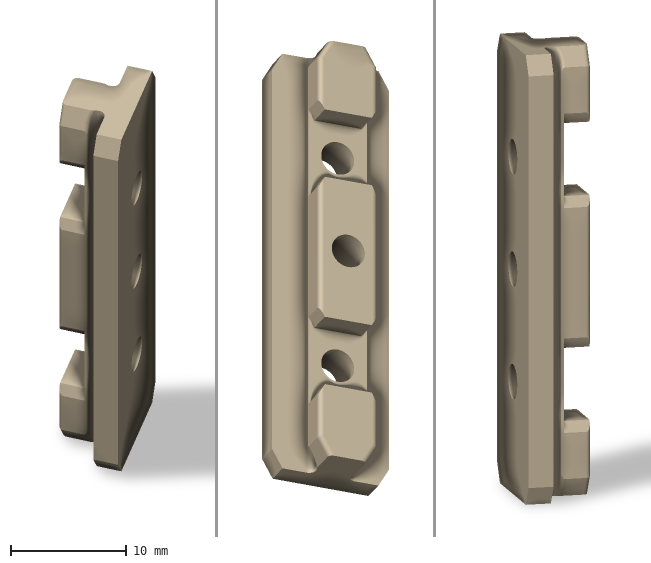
import cadquery as cq
import math

LENGTH = 40.0
DEPTH = 6.3
FLANGE_WIDTH = 10.97

FLANGE_FRONT = 4.05
HEAD_WIDTH = 5.5
HEAD_BACK = 2.66
NECK_WIDTH = 3.3
GROOVE_RADIUS = 0.6
GROOVE_CENTER = (HEAD_BACK + FLANGE_FRONT) / 2

FRONT_FILLET = 0.45
SIDE_LIP_FILLET = 0.12
BEVEL_LIP_FILLET = 0.35

BEVEL_SLOPE = math.tan(math.radians(30.0))
END_BEVEL_LENGTH = 1.69
GAP_BEVEL_LENGTH = 0.95

HOLE_DIAMETER = 3.1
HOLE_PITCH = 10.0
GAP_LENGTH = 6.5
GAP_DEPTH = 2.4

HOLE_POSITIONS = (-HOLE_PITCH, 0, HOLE_PITCH)
GAP_POSITIONS = (-HOLE_PITCH, HOLE_PITCH)

SELECTION_MARGIN = 0.01


def square_bar(x_start, x_end, width):
    """Full-length bar with square corners."""
    bar = cq.Workplane("XY").box(x_end - x_start, width, LENGTH)
    return bar.translate(((x_start + x_end) / 2, 0, 0))


def beveled_bar(x_start, x_end, width, bevel_length):
    """Full-length bar whose four corners are beveled."""
    side = width / 2
    end = LENGTH / 2
    end_side = side - bevel_length * BEVEL_SLOPE
    bevel_start = end - bevel_length
    outline = [
        (-end_side, -end),
        (end_side, -end),
        (side, -bevel_start),
        (side, bevel_start),
        (end_side, end),
        (-end_side, end),
        (-side, bevel_start),
        (-side, -bevel_start),
    ]
    bar = cq.Workplane("YZ").polyline(outline).close().extrude(x_end - x_start)
    return bar.translate((x_start, 0, 0))


def make_groove(side):
    """Groove between head and flange on one side, rounded where it meets the neck."""
    neck = side * NECK_WIDTH / 2
    outside = side * FLANGE_WIDTH
    groove = (
        cq.Workplane("XY")
        .workplane(offset=-LENGTH / 2)
        .moveTo(HEAD_BACK, neck)
        .lineTo(FLANGE_FRONT, neck)
        .lineTo(FLANGE_FRONT, outside)
        .lineTo(HEAD_BACK, outside)
        .close()
        .extrude(LENGTH)
    )
    neck_face = "<Y" if side > 0 else ">Y"
    return groove.faces(neck_face).edges("|Z").fillet(GROOVE_RADIUS)


def cut_grooves(bar):
    return bar.cut(make_groove(1)).cut(make_groove(-1))


def edges_at(x, y_start, y_end):
    """Selector for edges in the plane at x and between two Y positions, without those of the ends."""
    end = LENGTH / 2 - SELECTION_MARGIN
    return cq.selectors.BoxSelector(
        (x - SELECTION_MARGIN, y_start, -end),
        (x + SELECTION_MARGIN, y_end, end),
    )


def round_head_edges(bar, lip_fillet):
    """Round the front edges of a grooved bar and its lips over the grooves."""
    lip_start = NECK_WIDTH / 2 + GROOVE_RADIUS + SELECTION_MARGIN
    front_edges = edges_at(0, -FLANGE_WIDTH, FLANGE_WIDTH)
    lip_edges = edges_at(HEAD_BACK, lip_start, FLANGE_WIDTH) + edges_at(HEAD_BACK, -FLANGE_WIDTH, -lip_start)
    return bar.edges(front_edges).fillet(FRONT_FILLET).edges(lip_edges).fillet(lip_fillet)


def make_head():
    """Head with the front half of the neck: its straight sides meet the separately rounded end bevels."""
    straight = cut_grooves(square_bar(0, GROOVE_CENTER, HEAD_WIDTH))
    straight = round_head_edges(straight, SIDE_LIP_FILLET)

    overhang = (FLANGE_WIDTH - HEAD_WIDTH) / 2
    long_bevel = END_BEVEL_LENGTH + overhang / BEVEL_SLOPE
    wide = cut_grooves(beveled_bar(0, GROOVE_CENTER, FLANGE_WIDTH, long_bevel))
    wide = round_head_edges(wide, BEVEL_LIP_FILLET)
    return straight.intersect(wide)


def make_flange():
    """Flange with the rear half of the neck, whose fillets run the full length."""
    flange = beveled_bar(FLANGE_FRONT, DEPTH, FLANGE_WIDTH, END_BEVEL_LENGTH)
    return flange.union(cut_grooves(square_bar(GROOVE_CENTER, FLANGE_FRONT, HEAD_WIDTH)))


def make_gap(z_center):
    """Cutter for one gap, flared at the sides to bevel the head blocks next to it."""
    side = HEAD_WIDTH / 2
    inner = side - GAP_BEVEL_LENGTH * BEVEL_SLOPE
    half = GAP_LENGTH / 2
    flared = half + GAP_BEVEL_LENGTH
    outline = [
        (side, flared),
        (inner, half),
        (-inner, half),
        (-side, flared),
        (-side, -flared),
        (-inner, -half),
        (inner, -half),
        (side, -flared),
    ]
    return cq.Workplane("YZ").center(0, z_center).polyline(outline).close().extrude(GAP_DEPTH)


def make_hole(z_center):
    return cq.Workplane("YZ").center(0, z_center).circle(HOLE_DIAMETER / 2).extrude(DEPTH)


result = make_flange().union(make_head())
for z_position in GAP_POSITIONS:
    result = result.cut(make_gap(z_position))
for z_position in HOLE_POSITIONS:
    result = result.cut(make_hole(z_position))